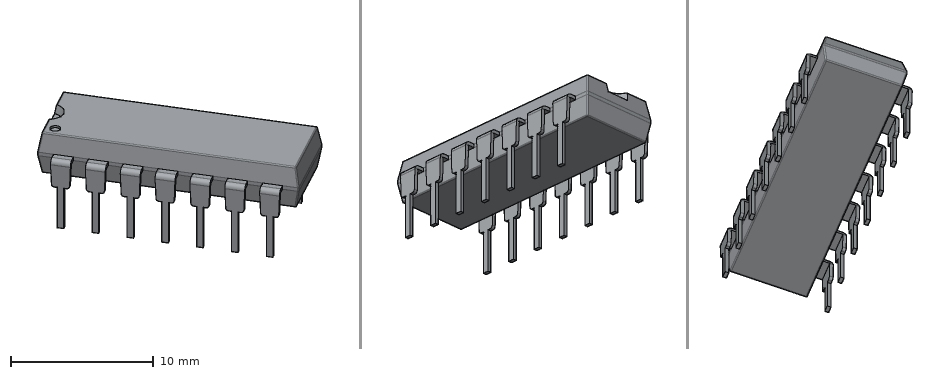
import cadquery as cq

body_length = 19.05
body_width = 6.35
body_height = 3.3
draft_angle = 10.0
edge_radius = 0.1

overall_width = 8.0
overall_height = 6.97
lead_count = 7
row_length = 15.24
lead_thickness = 0.29
bend_radius = 0.38
shoulder_width = 1.45
shoulder_end_width = 1.31
shoulder_drop = 3.68
shoulder_corner_radius = 0.23
pin_width = 0.48

notch_radius = 1.07
notch_floor_radius = 0.95
notch_depth = 0.7
mark_radius = 0.38
mark_floor_radius = 0.36
mark_depth = 0.15
mark_inset = 1.03

body_top = body_height / 2
pin_tip = body_top - overall_height
shoulder_bottom = body_top - shoulder_drop
band_top = lead_thickness / 2
lead_face = overall_width / 2
bend_end = band_top - bend_radius
lead_pitch = row_length / (lead_count - 1)


def make_half_body():
    """Upper half of the body: half of the band plus the tapered part."""
    band = cq.Workplane("XY").rect(body_length, body_width).extrude(band_top)
    taper = (
        cq.Workplane("XY", origin=(0, 0, band_top))
        .rect(body_length, body_width)
        .extrude(body_top - band_top, taper=draft_angle)
    )
    return band.union(taper)


def make_body():
    upper = make_half_body()
    body = upper.union(upper.mirror("XY"))
    return body.edges("(not #Z) or >Z or <Z").fillet(edge_radius)


def make_recess(x, y, top_radius, floor_radius, depth):
    """Cone-sided recess sunk from the top face of the body."""
    return (
        cq.Workplane("XY", origin=(x, y, body_top - depth))
        .circle(floor_radius)
        .workplane(offset=depth)
        .circle(top_radius)
        .loft()
    )


def make_lead():
    """One lead of the -Y row, centred on X = 0."""
    strip = (
        cq.Workplane("YZ")
        .moveTo(0, band_top)
        .lineTo(bend_radius - lead_face, band_top)
        .radiusArc((-lead_face, bend_end), -bend_radius)
        .lineTo(-lead_face, pin_tip)
        .lineTo(lead_thickness - lead_face, pin_tip)
        .lineTo(lead_thickness - lead_face, -band_top)
        .lineTo(0, -band_top)
        .close()
        .extrude(shoulder_width / 2, both=True)
    )
    shoulder = (
        cq.Workplane("XZ")
        .polyline([
            (-shoulder_width / 2, band_top),
            (shoulder_width / 2, band_top),
            (shoulder_width / 2, -band_top),
            (shoulder_end_width / 2, shoulder_bottom),
            (-shoulder_end_width / 2, shoulder_bottom),
            (-shoulder_width / 2, -band_top),
        ])
        .close()
        .extrude(lead_face)
        .edges("|Y and <Z")
        .fillet(shoulder_corner_radius)
    )
    pin_height = band_top - pin_tip
    pin = cq.Workplane("XY").box(pin_width, lead_face, pin_height).translate(
        (0, -lead_face / 2, pin_tip + pin_height / 2)
    )
    return strip.intersect(shoulder.union(pin))


body_end = -body_length / 2
body_side = -body_width / 2
notch = make_recess(body_end, 0, notch_radius, notch_floor_radius, notch_depth)
mark = make_recess(
    body_end + mark_inset, body_side + mark_inset, mark_radius, mark_floor_radius, mark_depth
)

result = make_body().cut(notch).cut(mark)
lead = make_lead()
for index in range(lead_count):
    x = (index - (lead_count - 1) / 2) * lead_pitch
    placed = lead.translate((x, 0, 0))
    result = result.union(placed).union(placed.mirror("XZ"))